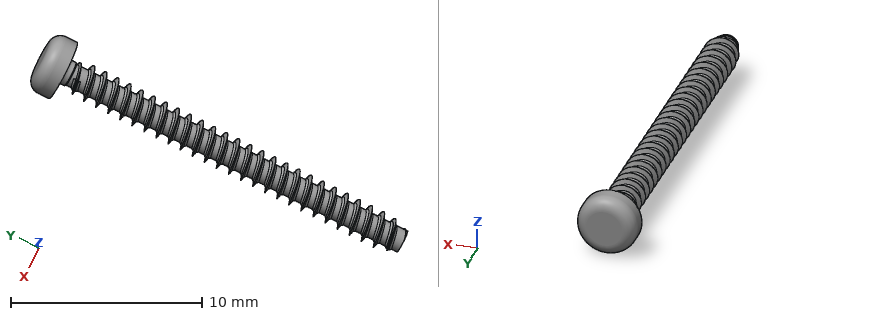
import cadquery as cq
import math

total_length = 21.3
head_diameter = 3.3
head_height = 1.32
crown_radius = 0.65
rim_radius = 0.02
shank_length = total_length - head_height

core_radius = 0.62
neck_radius = 0.68
neck_fillet = 0.25
neck_end = 0.4
tip_height = 0.05

full_turns = 25
full_start = 1.17
full_length = 17.75
pitch = full_length / full_turns
root_radius = 0.58
foot_radius = 0.7
crest_radius = 0.95
foot_half_width = 0.25
fin_half_width = 0.09
crest_half_width = 0.01
foot_lead_turns = 0.5
foot_tail_turns = 1
fade_turns = 1.5
fin_drop = 0.36

SHANK_PLANE = cq.Plane(origin=(0, 0, 0), xDir=(1, 0, 0), normal=(0, -1, 0))
OUTLINE_PLANE = cq.Plane(origin=(0, 0, 0), xDir=(0, 0, -1), normal=(-1, 0, 0))
START_ANGLE = 90


def make_blank():
    """Head, neck, core and conical tip turned from one half outline (radius, depth)."""
    head_radius = head_diameter / 2
    diagonal = math.sqrt(0.5)
    crown_flat = head_radius - crown_radius
    crown_edge = crown_radius - head_height
    crown_mid = (crown_flat + crown_radius * diagonal, crown_edge - crown_radius * diagonal)
    rim_inset = rim_radius * (1 - diagonal)
    fillet_inset = neck_fillet * (1 - diagonal)
    outline = (
        cq.Workplane(OUTLINE_PLANE)
        .moveTo(0, -head_height)
        .lineTo(crown_flat, -head_height)
        .threePointArc(crown_mid, (head_radius, crown_edge))
        .lineTo(head_radius, -rim_radius)
        .threePointArc((head_radius - rim_inset, -rim_inset), (head_radius - rim_radius, 0))
        .lineTo(neck_radius + neck_fillet, 0)
        .threePointArc((neck_radius + fillet_inset, fillet_inset), (neck_radius, neck_fillet))
        .lineTo(neck_radius, neck_end)
        .lineTo(core_radius, neck_end + neck_radius - core_radius)
        .lineTo(core_radius, shank_length - tip_height)
        .lineTo(0, shank_length)
        .close()
    )
    return outline.revolve(360, (0, 0, 0), (0, 1, 0))


def helix(radius, start, turns, rise):
    """Right-handed helix along +Z whose radius changes by `rise` over its length."""
    length = turns * pitch
    if rise == 0:
        wire = cq.Wire.makeHelix(pitch, length, radius)
    else:
        cone_angle = math.atan2(rise, length)
        slope = math.cos(cone_angle)
        wire = cq.Wire.makeHelix(pitch / slope, length / slope, radius, angle=math.degrees(cone_angle))
    return wire.translate(cq.Vector(0, 0, start)).Edges()[0]


def end_face(paths, place):
    """Flat face through the starts (place 0) or the ends (place 1) of the paths."""
    corners = [path.positionAt(place) for path in paths]
    return cq.Face.makeFromWires(cq.Wire.makePolygon(corners, close=True))


def helical_bar(profile, start, turns, rise=0):
    """Solid that follows a helix from depth `start`, with (radius, depth) profile corners.

    Its flanks are divided into equal stretches of one turn or less.
    """
    count = math.ceil(turns)
    stretch_turns = turns / count
    stretch_rise = rise / count
    stretches = []
    for index in range(count):
        stretch_start = start + index * stretch_turns * pitch
        angle = START_ANGLE + 360 * (stretch_start - full_start) / pitch
        paths = []
        for radius, depth in profile:
            start_radius = radius + index * stretch_rise
            path = helix(start_radius, stretch_start + depth, stretch_turns, stretch_rise)
            paths.append(path.rotate(cq.Vector(0, 0, 0), cq.Vector(0, 0, 1), angle))
        stretches.append(paths)

    faces = [end_face(stretches[0], 0), end_face(stretches[-1], 1)]
    for paths in stretches:
        neighbours = paths[1:] + paths[:1]
        faces += [cq.Face.makeRuledSurface(a, b) for a, b in zip(paths, neighbours)]
    bar = cq.Solid.makeSolid(cq.Shell.makeShell(faces))
    bar = cq.Solid(cq.Shape.fix(bar).wrapped)
    return cq.Workplane(obj=bar.moved(cq.Location(SHANK_PLANE)))


def mirrored(half_profile):
    """Closed (radius, depth) profile from the (radius, half width) corners of one side."""
    near_side = [(radius, -half_width) for radius, half_width in half_profile]
    far_side = [(radius, half_width) for radius, half_width in reversed(half_profile)]
    return near_side + far_side


fin_slope = (fin_half_width - crest_half_width) / (crest_radius - foot_radius)
fin_root_half_width = fin_half_width + fin_slope * (foot_radius - root_radius)

foot_root = (root_radius, foot_half_width)
foot_top = (foot_radius, fin_half_width)
fin_root = (root_radius, fin_root_half_width)
crest = (crest_radius, crest_half_width)

thread_profile = mirrored([foot_root, foot_top, crest])
foot_profile = mirrored([foot_root, foot_top])
fin_profile = mirrored([fin_root, crest])
sunk_fin_profile = [(radius - fin_drop, depth) for radius, depth in fin_profile]

full_end = full_start + full_length
foot_start = full_start - foot_lead_turns * pitch
runin_start = full_start - fade_turns * pitch

tip_limit = cq.Workplane(SHANK_PLANE).circle(head_diameter / 2).extrude(shank_length - tip_height)
runout = helical_bar(fin_profile, full_end, fade_turns, -fin_drop).intersect(tip_limit)

result = (
    make_blank()
    .union(helical_bar(sunk_fin_profile, runin_start, fade_turns, fin_drop))
    .union(runout)
    .union(helical_bar(foot_profile, foot_start, foot_lead_turns))
    .union(helical_bar(foot_profile, full_end, foot_tail_turns))
    .union(helical_bar(thread_profile, full_start, full_turns))
)